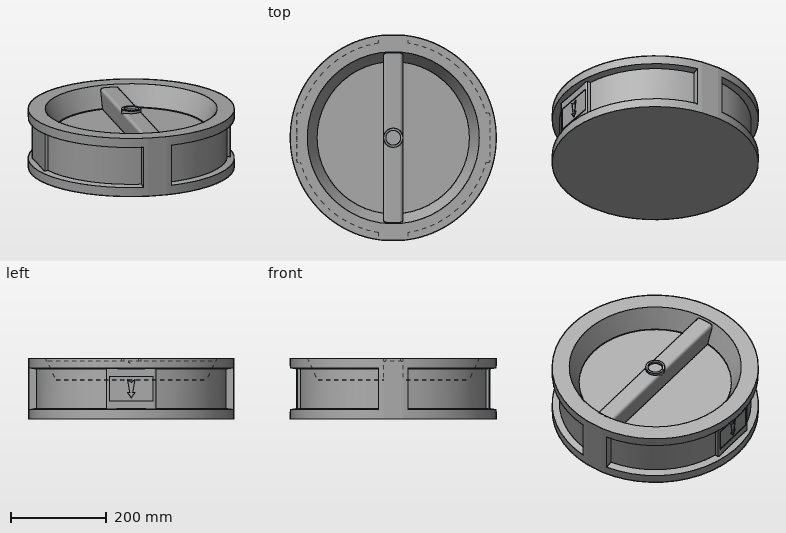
import cadquery as cq
import math

outer_radius = 215.0
height = 127.0
half_height = height / 2
flat_width = 40.0
flat_distance = math.sqrt(outer_radius**2 - (flat_width / 2) ** 2)

waist_radius = 200.0
flange_thickness = 19.8
flange_slope_rise = 2.5
lug_width = 60.5

pad_distance = 201.2
pad_face_width = 94.5
pad_shoulder_width = 102.5
pad_base_width = 104.0
pad_base_distance = 189.0
pad_edge_drop = 1.7
label_width = 90.0
label_height = 50.5
label_depth = 1.0

arrow_half_length = 19.0
arrow_half_width = 7.7
arrow_neck_half_width = 3.0
arrow_neck_height = -8.0
arrow_notch_depth = 5.5

bore_top_radius = 179.5
bore_bottom_radius = 158.5
taper_depth = 44.5
floor_gap = 1.7
floor_depth = taper_depth + floor_gap

bar_width = 40.0
bar_top_depth = 5.0
bar_edge_radius = 6.0
ring_inner_radius = 15.5


def make_body():
    """Full-height disc with a flat on the -Y and +Y sides."""
    disc = cq.Workplane("XY").circle(outer_radius).extrude(half_height, both=True)
    trim = cq.Workplane("XY").box(2 * outer_radius, 2 * flat_distance, height)
    return disc.intersect(trim)


def make_waist_groove():
    """Ring-shaped groove between the flanges, interrupted by the two lugs."""
    rim_z = half_height - flange_thickness
    waist_z = rim_z - flange_slope_rise
    groove = (
        cq.Workplane("XZ")
        .moveTo(waist_radius, -waist_z)
        .lineTo(outer_radius, -rim_z)
        .lineTo(outer_radius, rim_z)
        .lineTo(waist_radius, waist_z)
        .close()
        .revolve(360, (0, 0), (0, 1))
    )
    lugs = cq.Workplane("XY").box(lug_width, 2 * outer_radius, height)
    return groove.cut(lugs)


def make_pads():
    """Flat-faced pads with rounded edges on the -X and +X sides."""
    shoulder_distance = pad_distance - pad_edge_drop
    edge_width = (pad_shoulder_width - pad_face_width) / 2
    edge_radius = (edge_width**2 + pad_edge_drop**2) / (2 * pad_edge_drop)
    pad = (
        cq.Workplane("XY")
        .moveTo(pad_base_distance, -pad_base_width / 2)
        .lineTo(shoulder_distance, -pad_shoulder_width / 2)
        .radiusArc((pad_distance, -pad_face_width / 2), -edge_radius)
        .lineTo(pad_distance, pad_face_width / 2)
        .radiusArc((shoulder_distance, pad_shoulder_width / 2), -edge_radius)
        .lineTo(pad_base_distance, pad_base_width / 2)
        .close()
        .extrude(half_height - flange_thickness, both=True)
    )
    return pad.union(pad.mirror("YZ"))


def make_label_recess():
    """Shallow rectangle in the -X pad with a raised flow arrow inside."""
    face = cq.Workplane("YZ", origin=(-pad_distance, 0, 0))
    recess = face.rect(label_width, label_height).extrude(label_depth)
    arrow = (
        face.moveTo(0, -arrow_half_length)
        .lineTo(arrow_half_width, arrow_neck_height)
        .lineTo(arrow_neck_half_width, arrow_neck_height)
        .lineTo(arrow_half_width, arrow_half_length)
        .lineTo(0, arrow_half_length - arrow_notch_depth)
        .lineTo(-arrow_half_width, arrow_half_length)
        .lineTo(-arrow_neck_half_width, arrow_neck_height)
        .lineTo(-arrow_half_width, arrow_neck_height)
        .close()
        .extrude(label_depth)
    )
    return recess.cut(arrow)


def make_bore():
    """Conical recess in the top face ending in a short straight wall."""
    return (
        cq.Workplane("XZ")
        .moveTo(0, half_height)
        .lineTo(bore_top_radius, half_height)
        .lineTo(bore_bottom_radius, half_height - taper_depth)
        .lineTo(bore_bottom_radius, half_height - floor_depth)
        .lineTo(0, half_height - floor_depth)
        .close()
        .revolve(360, (0, 0), (0, 1))
    )


def make_bar():
    """Bar along Y with rounded top edges, carrying a ring flush with the top face."""
    bar_top = half_height - bar_top_depth
    bar = (
        cq.Workplane("XY", origin=(0, 0, half_height - floor_depth))
        .rect(bar_width, 2 * bore_top_radius)
        .extrude(floor_depth - bar_top_depth)
        .edges("|Y and >Z")
        .fillet(bar_edge_radius)
    )
    ring_base = bar_top - bar_edge_radius
    ring = (
        cq.Workplane("XY", origin=(0, 0, ring_base))
        .circle(bar_width / 2)
        .extrude(half_height - ring_base)
    )
    ring_hole = (
        cq.Workplane("XY", origin=(0, 0, bar_top))
        .circle(ring_inner_radius)
        .extrude(bar_top_depth)
    )
    return bar.union(ring).cut(ring_hole)


body = make_body().cut(make_waist_groove()).union(make_pads())
body = body.cut(make_label_recess())
bore_void = make_bore().cut(make_bar())
result = body.cut(bore_void)